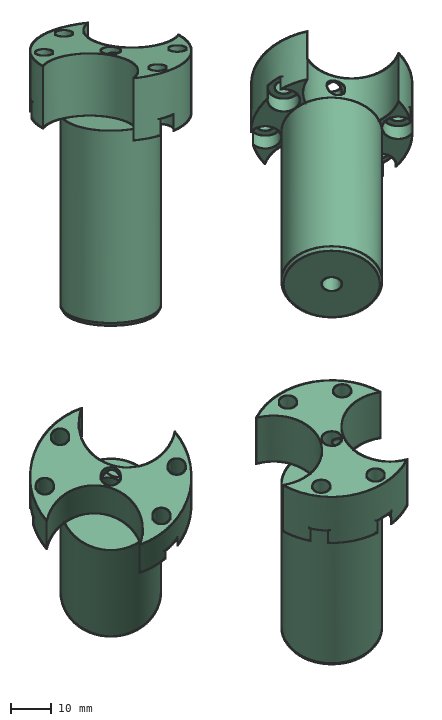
import cadquery as cq
import math

total_height = 68.5
head_height = 16.5
shank_height = total_height - head_height

shank_diameter = 25.0
end_chamfer_height = 1.0
end_chamfer_angle = 30.0
end_chamfer_width = end_chamfer_height * math.tan(math.radians(end_chamfer_angle))

head_diameter = 40.0
recess_radius = 12.0
recess_offset = 15.0

bore_diameter = 5.0

port_diameter = 4.8
port_depth = 3.9

screw_x = 15.0
screw_y = 7.0
screw_diameter = 4.5
counterbore_diameter = 8.0
counterbore_depth = 4.4


def cylinder(diameter, height, base_z=0.0, x=0.0, y=0.0):
    """Vertical cylinder standing on base_z."""
    return cq.Workplane("XY", origin=(x, y, base_z)).circle(diameter / 2).extrude(height)


def make_shank():
    """Round shank with a steep chamfer around its lower end."""
    shank = cylinder(shank_diameter, shank_height)
    return shank.faces("<Z").chamfer(end_chamfer_height, end_chamfer_width)


def make_head():
    """Disc with recesses and counterbored screw holes."""
    head = cylinder(head_diameter, head_height, shank_height)
    for y_side in (-1, 1):
        recess_y = y_side * recess_offset
        head = head.cut(cylinder(2 * recess_radius, head_height, shank_height, y=recess_y))
    for x_side in (-1, 1):
        for y_side in (-1, 1):
            x = x_side * screw_x
            y = y_side * screw_y
            head = head.cut(cylinder(screw_diameter, head_height, shank_height, x, y))
            head = head.cut(cylinder(counterbore_diameter, counterbore_depth, shank_height, x, y))
    return head


def make_side_port():
    """Horizontal hole opening the bore into the +Y recess."""
    port_z = total_height - port_depth
    return cq.Workplane("XZ", origin=(0, 0, port_z)).circle(port_diameter / 2).extrude(-recess_offset)


bore = cylinder(bore_diameter, total_height)
result = make_shank().union(make_head()).cut(bore).cut(make_side_port())